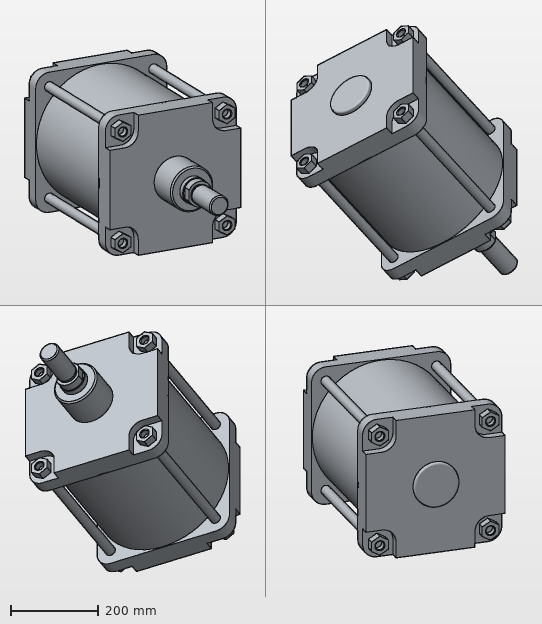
import cadquery as cq
import math

TOTAL_LENGTH = 646.0
COVER_SIDE = 340.0
COVER_THICKNESS = 55.0
COVER_CORNER_RADIUS = 35.0
BARREL_LENGTH = 309.5
BARREL_DIAMETER = 336.0

POCKET_SIDE = 73.5
POCKET_DEPTH = 22.0
POCKET_CORNER_RADIUS = 35.0

BOSS_DIAMETER = 110.0
REAR_BOSS_FILLET = 4.5
FRONT_BOSS_CHAMFER = 4.0
REAR_BOSS_HEIGHT = 10.5
FRONT_BOSS_HEIGHT = 83.5

TIE_SPACING = 270.0
TIE_DIAMETER = 24.0
NUT_ACROSS_FLATS = 41.0
NUT_HEIGHT = 20.0
NUT_BORE_DIAMETER = 20.5
NUT_BORE_DEPTH = 16.0
NUT_BORE_CHAMFER = 2.0

ROD_DIAMETER = 64.5
ROD_STEP_CHAMFER = 1.6
WRENCH_DIAMETER = ROD_DIAMETER - 2 * ROD_STEP_CHAMFER
WRENCH_ACROSS_FLATS = 55.0
WRENCH_LENGTH = 21.0
SHANK_PROJECTION = 15.5
RELIEF_LENGTH = 6.0
THREAD_DIAMETER = 48.5
THREAD_CHAMFER = 3.0
RELIEF_DIAMETER = 46.5

REAR_COVER_FACE = REAR_BOSS_HEIGHT
BARREL_START = REAR_COVER_FACE + COVER_THICKNESS
BARREL_END = BARREL_START + BARREL_LENGTH
FRONT_COVER_FACE = BARREL_END + COVER_THICKNESS
FRONT_BOSS_END = FRONT_COVER_FACE + FRONT_BOSS_HEIGHT
SHANK_END = FRONT_BOSS_END + SHANK_PROJECTION
WRENCH_END = SHANK_END + WRENCH_LENGTH
THREAD_START = WRENCH_END + RELIEF_LENGTH

CORNERS = [(side_y, side_z) for side_y in (-1, 1) for side_z in (-1, 1)]
TIE_POSITIONS = [(side_y * TIE_SPACING / 2, side_z * TIE_SPACING / 2) for side_y, side_z in CORNERS]


def plane_at(x):
    """Plane square to the axis: local x is Y, local y is Z, and it extrudes toward +X."""
    return cq.Workplane("YZ", origin=(x, 0, 0))


def disc(start, end, diameter):
    return plane_at(start).circle(diameter / 2).extrude(end - start)


def corner_pockets(start):
    """Four square pockets, open to the outside of the cover, each with one rounded inner corner."""
    centre = COVER_SIDE / 2
    block_side = 2 * POCKET_SIDE
    return (
        plane_at(start)
        .pushPoints([(side_y * centre, side_z * centre) for side_y, side_z in CORNERS])
        .rect(block_side, block_side)
        .extrude(POCKET_DEPTH)
        .edges("|X")
        .fillet(POCKET_CORNER_RADIUS)
    )


def cover_plate(start, pocket_start):
    """Rounded square plate with corner pockets and tie-rod holes."""
    plate = (
        plane_at(start)
        .rect(COVER_SIDE, COVER_SIDE)
        .extrude(COVER_THICKNESS)
        .edges("|X")
        .fillet(COVER_CORNER_RADIUS)
    )
    tie_holes = plane_at(start).pushPoints(TIE_POSITIONS).circle(TIE_DIAMETER / 2).extrude(COVER_THICKNESS)
    return plate.cut(corner_pockets(pocket_start)).cut(tie_holes)


def make_rear_cover():
    boss = disc(0, REAR_COVER_FACE, BOSS_DIAMETER).faces("<X").fillet(REAR_BOSS_FILLET)
    return cover_plate(REAR_COVER_FACE, REAR_COVER_FACE).union(boss)


def make_front_cover():
    boss = disc(FRONT_COVER_FACE, FRONT_BOSS_END, BOSS_DIAMETER).faces(">X").chamfer(FRONT_BOSS_CHAMFER)
    rod_hole = disc(BARREL_END, FRONT_BOSS_END, ROD_DIAMETER)
    return cover_plate(BARREL_END, FRONT_COVER_FACE - POCKET_DEPTH).union(boss).cut(rod_hole)


def make_barrel():
    return disc(BARREL_START, BARREL_END, BARREL_DIAMETER)


def make_piston_rod():
    shank = disc(BARREL_END, SHANK_END, ROD_DIAMETER).faces(">X").chamfer(ROD_STEP_CHAMFER)
    flats = plane_at(SHANK_END).rect(WRENCH_ACROSS_FLATS, WRENCH_DIAMETER).extrude(WRENCH_LENGTH)
    wrench_section = disc(SHANK_END, WRENCH_END, WRENCH_DIAMETER).intersect(flats)
    relief = disc(WRENCH_END, THREAD_START, RELIEF_DIAMETER)
    thread = disc(THREAD_START, TOTAL_LENGTH, THREAD_DIAMETER).faces(">X").chamfer(THREAD_CHAMFER)
    return shank.union(wrench_section).union(relief).union(thread)


def nut(start):
    """Hexagonal nut with two corners pointing along Z."""
    corner_diameter = NUT_ACROSS_FLATS / math.cos(math.radians(30))
    return plane_at(start).transformed(rotate=(0, 0, 90)).polygon(6, corner_diameter).extrude(NUT_HEIGHT)


def make_tie_rod(y, z):
    """Rod between the pocket floors, with a nut at each end and a blind bore in each nut."""
    rear_floor = REAR_COVER_FACE + POCKET_DEPTH
    front_floor = FRONT_COVER_FACE - POCKET_DEPTH
    rear_end = rear_floor - NUT_HEIGHT
    front_end = front_floor + NUT_HEIGHT
    rear_bore = disc(rear_end, rear_end + NUT_BORE_DEPTH, NUT_BORE_DIAMETER)
    front_bore = disc(front_end - NUT_BORE_DEPTH, front_end, NUT_BORE_DIAMETER)
    tie_rod = disc(rear_floor, front_floor, TIE_DIAMETER).union(nut(rear_end)).union(nut(front_floor))
    tie_rod = tie_rod.cut(rear_bore).cut(front_bore)
    tie_rod = tie_rod.faces("<X or >X").edges("%CIRCLE").chamfer(NUT_BORE_CHAMFER)
    return tie_rod.translate((0, y, z))


rear_cover = make_rear_cover()
front_cover = make_front_cover()
barrel = make_barrel()
piston_rod = make_piston_rod()
tie_rods = [make_tie_rod(y, z) for y, z in TIE_POSITIONS]

result = cq.Compound.makeCompound(
    [rear_cover.val(), front_cover.val(), barrel.val(), piston_rod.val()]
    + [tie_rod.val() for tie_rod in tie_rods]
)